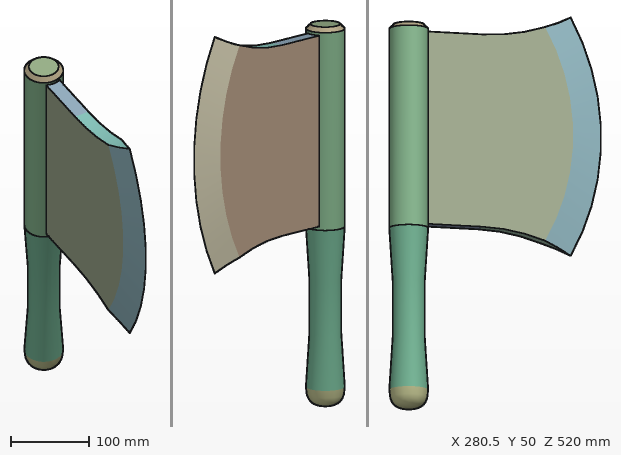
import cadquery as cq
import math

handle_radius = 25
sleeve_top = 135
sleeve_bottom = -130
sleeve_chamfer = 6

grip_length = 210
waist_radius = 20
pommel_height = 25
pommel_fullness = 17.5
grip_bottom = sleeve_bottom - grip_length
pommel_bottom = grip_bottom - pommel_height
grip_middle = sleeve_bottom - grip_length / 2

blade_thickness = 20
root_half_height = 125
flare_start_x = 95
tip_x = 215
tip_z = 155
edge_x = 255.47
bevel_width = 40

edge_bulge = edge_x - tip_x
edge_radius = (tip_z**2 + edge_bulge**2) / (2 * edge_bulge)
edge_center_x = edge_x - edge_radius


def make_sleeve():
    """Round sleeve that carries the blade, chamfered at the top."""
    return (
        cq.Workplane("XY")
        .workplane(offset=sleeve_bottom)
        .circle(handle_radius)
        .extrude(sleeve_top - sleeve_bottom)
        .faces(">Z")
        .chamfer(sleeve_chamfer)
    )


def make_grip():
    """Waisted grip with a full, rounded end, turned about Z."""
    pommel_curve = [
        (handle_radius, grip_bottom - pommel_fullness),
        (pommel_fullness, pommel_bottom),
        (0, pommel_bottom),
    ]
    return (
        cq.Workplane("XZ")
        .moveTo(0, sleeve_bottom)
        .lineTo(handle_radius, sleeve_bottom)
        .threePointArc((waist_radius, grip_middle), (handle_radius, grip_bottom))
        .bezier(pommel_curve, includeCurrent=True)
        .close()
        .revolve(360, (0, 0), (0, 1))
    )


def make_blade_plate():
    """Flat plate with flared top and bottom edges and an arched cutting edge."""
    flare_run = tip_x - flare_start_x
    flare_rise = tip_z - root_half_height
    flare_radius = (flare_run**2 + flare_rise**2) / (2 * flare_rise)
    half_angle = math.atan2(flare_rise, flare_run)
    flare_mid_x = flare_start_x + flare_radius * math.sin(half_angle)
    flare_mid_z = root_half_height + flare_radius * (1 - math.cos(half_angle))
    return (
        cq.Workplane("XZ")
        .moveTo(0, root_half_height)
        .lineTo(flare_start_x, root_half_height)
        .threePointArc((flare_mid_x, flare_mid_z), (tip_x, tip_z))
        .threePointArc((edge_x, 0), (tip_x, -tip_z))
        .threePointArc((flare_mid_x, -flare_mid_z), (flare_start_x, -root_half_height))
        .lineTo(0, -root_half_height)
        .close()
        .extrude(blade_thickness / 2, both=True)
    )


def make_bevel_envelope():
    """Disc sharpened to a knife edge, centred on the arc of the cutting edge."""
    half_thickness = blade_thickness / 2
    bevel_radius = edge_radius - bevel_width
    return (
        cq.Workplane("XY")
        .moveTo(edge_center_x, -half_thickness)
        .lineTo(edge_center_x + bevel_radius, -half_thickness)
        .lineTo(edge_x, 0)
        .lineTo(edge_center_x + bevel_radius, half_thickness)
        .lineTo(edge_center_x, half_thickness)
        .close()
        .revolve(360, (edge_center_x, 0), (edge_center_x, 1))
    )


def make_blade(sleeve):
    """Plate sharpened on both faces, its root hollowed to sit on the sleeve."""
    sharpened = make_blade_plate().intersect(make_bevel_envelope())
    forward_half = cq.Workplane("XY").box(edge_x, blade_thickness, 2 * tip_z, centered=(False, True, True))
    return sharpened.intersect(forward_half).cut(sleeve)


sleeve = make_sleeve()
grip = make_grip()
blade = make_blade(sleeve)

result = cq.Compound.makeCompound([sleeve.val(), grip.val(), *blade.solids().vals()])